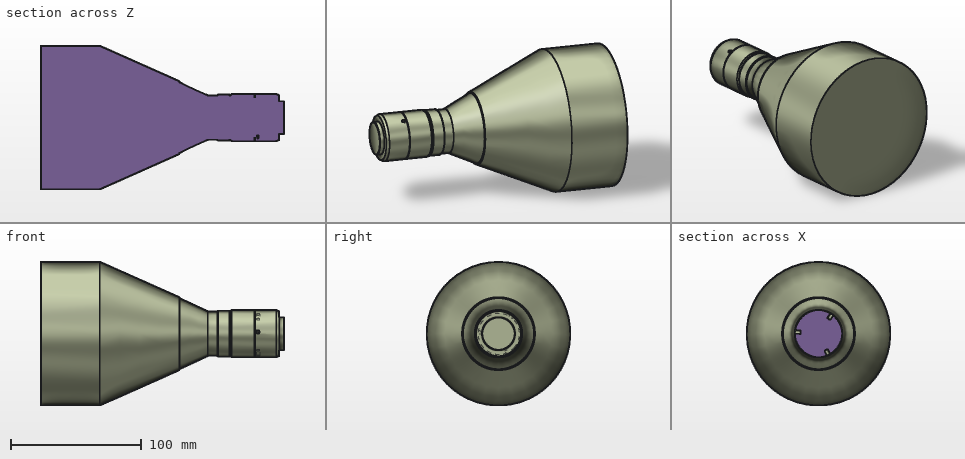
import cadquery as cq
import math

total_length = 185.9

hood_radius = 55.0
hood_length = 45.0
cone_joint_x = 105.7
cone_joint_radius = 28.0
joint_step_depth = 0.9
joint_step_length = 0.5
cone_end_x = 127.7

cone_end_radius = 17.1
neck_blend_length = 1.2
neck_start_x = cone_end_x + neck_blend_length
neck_taper_depth = 0.1
neck_radius = cone_end_radius - neck_taper_depth

ring_radius = 17.7
ring_start_x = 134.9
ring_end_x = 144.5
ring_chamfer = 0.5

barrel_radius = 18.25
barrel_start_x = 144.8
barrel_front_chamfer = 1.1
barrel_rear_chamfer_length = 2.3
barrel_rear_chamfer_depth = 1.1
barrel_groove_x = 163.2
barrel_groove_width = 0.5
barrel_groove_depth = 2.5

mount_length = 3.75
mount_radius = 12.7
mount_chamfer = 0.4
barrel_end_x = total_length - mount_length

screw_count = 3
screw_diameter = 2.5
screw_depth = 4.5
screw_x = 165.9
first_screw_angle = 55.3


def make_body():
    """Revolve the half section of the whole lens about the X axis."""
    groove_radius = barrel_radius - barrel_groove_depth
    groove_end_x = barrel_groove_x + barrel_groove_width
    section = [
        (0, 0),
        (0, hood_radius),
        (hood_length, hood_radius),
        (cone_joint_x, cone_joint_radius),
        (cone_joint_x + joint_step_length, cone_joint_radius - joint_step_depth),
        (cone_end_x, cone_end_radius),
        (neck_start_x, neck_radius),
        (ring_start_x, neck_radius),
        (ring_start_x, ring_radius - ring_chamfer),
        (ring_start_x + ring_chamfer, ring_radius),
        (ring_end_x - ring_chamfer, ring_radius),
        (ring_end_x, ring_radius - ring_chamfer),
        (ring_end_x, neck_radius),
        (barrel_start_x, neck_radius),
        (barrel_start_x, barrel_radius - barrel_front_chamfer),
        (barrel_start_x + barrel_front_chamfer, barrel_radius),
        (barrel_groove_x, barrel_radius),
        (barrel_groove_x, groove_radius),
        (groove_end_x, groove_radius),
        (groove_end_x, barrel_radius),
        (barrel_end_x - barrel_rear_chamfer_length, barrel_radius),
        (barrel_end_x, barrel_radius - barrel_rear_chamfer_depth),
        (barrel_end_x, mount_radius),
        (total_length - mount_chamfer, mount_radius),
        (total_length, mount_radius - mount_chamfer),
        (total_length, 0),
    ]
    return cq.Workplane("XZ").polyline(section).close().revolve(360, (0, 0, 0), (1, 0, 0))


def make_screw_hole(angle):
    """Return the radial cutter at an angle measured from +Y towards +Z."""
    outward = cq.Vector(0, math.cos(math.radians(angle)), math.sin(math.radians(angle)))
    floor = cq.Vector(screw_x, 0, 0) + outward * (barrel_radius - screw_depth)
    return cq.Solid.makeCylinder(screw_diameter / 2, 2 * screw_depth, floor, outward)


result = make_body()
for index in range(screw_count):
    screw_angle = first_screw_angle + index * 360 / screw_count
    result = result.cut(cq.Workplane(make_screw_hole(screw_angle)))